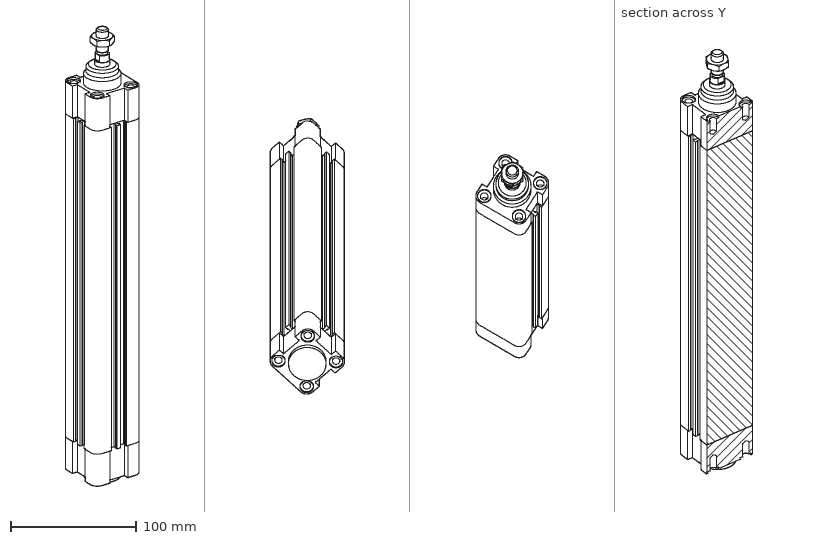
import cadquery as cq
import math

total_length = 396.0
rear_boss_height = 4.0
cap_length = 28.5
barrel_length = 286.7

section_width = 46.0
corner_radius = 6.7
half_width = section_width / 2

recess_width = 17.5
recess_depth = 4.8

groove_width = 14.5
rib_width = 3.5
groove_depth = 4.8
lip_thickness = 2.5
undercut = 0.6
mouth_width = (groove_width - rib_width) / 2
mouth_offset = (groove_width + rib_width) / 4

screw_offset = half_width - corner_radius
counterbore_diameter = 10.5
counterbore_depth = 1.5
screw_hole_diameter = 6.0
screw_hole_depth = 14.0
drill_point_angle = 118.0

boss_diameter = 30.0
boss_height = 8.5
boss_shoulder_height = 2.5
neck_diameter = 26.0
neck_height = 6.0
neck_chamfer = 2.0

rod_diameter = 12.3
rod_exposed_height = 4.0
rod_thread_diameter = 10.0
thread_relief_diameter = 8.7
thread_relief_height = 2.5
flats_land_height = 0.8
flats_height = 5.0
flats_width = 10.0
flats_diameter = 11.5
tip_chamfer = 1.0

nut_across_flats = 17.0
nut_height = 6.0
nut_bottom = 383.5
nut_chamfer_angle = 30.0

rear_cap_bottom = rear_boss_height
barrel_bottom = rear_cap_bottom + cap_length
barrel_top = barrel_bottom + barrel_length
front_cap_top = barrel_top + cap_length
neck_bottom = front_cap_top + boss_height + boss_shoulder_height
neck_top = neck_bottom + neck_height
collar_top = neck_top + rod_exposed_height
flats_bottom = collar_top + flats_land_height
relief_bottom = flats_bottom + flats_height
thread_bottom = relief_bottom + thread_relief_height

open_side_angles = (90, 180, 270)


def rounded_block(bottom, length):
    """Square bar with rounded corners, standing on the given level."""
    return (
        cq.Workplane("XY", origin=(0, 0, bottom))
        .rect(section_width, section_width)
        .extrude(length)
        .edges("|Z")
        .fillet(corner_radius)
    )


def cap_recess(bottom):
    """Cutter for the recess in the +Y side of a cap."""
    return (
        cq.Workplane("XY", origin=(0, half_width - recess_depth / 2, bottom))
        .rect(recess_width, recess_depth)
        .extrude(cap_length)
    )


def barrel_groove(offset):
    """Cutter for one groove in the +Y side of the barrel: a mouth between lips, wider below them."""
    mouth = (
        cq.Workplane("XY", origin=(offset, half_width - groove_depth / 2, barrel_bottom))
        .rect(mouth_width, groove_depth)
        .extrude(barrel_length)
    )
    chamber_depth = groove_depth - lip_thickness
    chamber = (
        cq.Workplane("XY", origin=(offset, half_width - lip_thickness - chamber_depth / 2, barrel_bottom))
        .rect(mouth_width + 2 * undercut, chamber_depth)
        .extrude(barrel_length)
    )
    return mouth.union(chamber)


def cut_open_sides(block, cutter):
    """Cut a shape made for the +Y side into each open side instead."""
    for angle in open_side_angles:
        block = block.cut(cutter.rotate((0, 0, 0), (0, 0, 1), angle))
    return block


def screw_holes():
    """Four counterbored blind holes with drill points, opening upward at level 0."""
    point_height = screw_hole_diameter / 2 / math.tan(math.radians(drill_point_angle / 2))
    profile = (
        cq.Workplane("XZ")
        .moveTo(0, 0)
        .lineTo(counterbore_diameter / 2, 0)
        .lineTo(counterbore_diameter / 2, -counterbore_depth)
        .lineTo(screw_hole_diameter / 2, -counterbore_depth)
        .lineTo(screw_hole_diameter / 2, -screw_hole_depth)
        .lineTo(0, -screw_hole_depth - point_height)
        .close()
    )
    hole = profile.revolve(360, (0, 0, 0), (0, 1, 0)).val()
    pitch = 2 * screw_offset
    corners = cq.Workplane("XY").rect(pitch, pitch, forConstruction=True).vertices()
    return corners.eachpoint(lambda place: hole.moved(place), combine=False)


def cap_block(bottom):
    """Cap body with the recesses in its three open sides."""
    return cut_open_sides(rounded_block(bottom, cap_length), cap_recess(bottom))


def make_rear_cap():
    cap = cap_block(rear_cap_bottom)
    boss = cq.Workplane("XY").circle(boss_diameter / 2).extrude(rear_boss_height)
    holes = screw_holes().rotate((0, 0, 0), (1, 0, 0), 180).translate((0, 0, rear_cap_bottom))
    return cap.union(boss).cut(holes)


def make_front_cap():
    boss = (
        cq.Workplane("XZ")
        .moveTo(0, front_cap_top)
        .lineTo(boss_diameter / 2, front_cap_top)
        .lineTo(boss_diameter / 2, front_cap_top + boss_height)
        .lineTo(neck_diameter / 2, neck_bottom)
        .lineTo(neck_diameter / 2, neck_top - neck_chamfer)
        .lineTo(neck_diameter / 2 - neck_chamfer, neck_top)
        .lineTo(0, neck_top)
        .close()
        .revolve(360, (0, 0, 0), (0, 1, 0))
    )
    rod_bore = cq.Workplane("XY", origin=(0, 0, barrel_top)).circle(rod_diameter / 2).extrude(total_length)
    holes = screw_holes().translate((0, 0, front_cap_top))
    return cap_block(barrel_top).union(boss).cut(holes).cut(rod_bore)


def make_barrel():
    barrel = rounded_block(barrel_bottom, barrel_length)
    for offset in (-mouth_offset, mouth_offset):
        barrel = cut_open_sides(barrel, barrel_groove(offset))
    return barrel


def make_rod():
    """Piston rod with wrench flats and a threaded end, standing on the barrel."""
    rod = (
        cq.Workplane("XY", origin=(0, 0, barrel_top))
        .circle(rod_diameter / 2)
        .extrude(collar_top - barrel_top)
    )
    land = (
        cq.Workplane("XY", origin=(0, 0, collar_top))
        .circle(flats_diameter / 2)
        .extrude(flats_land_height)
    )
    flats = (
        cq.Workplane("XY", origin=(0, 0, flats_bottom))
        .circle(flats_diameter / 2)
        .extrude(flats_height)
        .intersect(cq.Workplane("XY").box(flats_diameter, flats_width, 2 * total_length))
    )
    relief = (
        cq.Workplane("XY", origin=(0, 0, relief_bottom))
        .circle(thread_relief_diameter / 2)
        .extrude(thread_relief_height)
    )
    thread = (
        cq.Workplane("XY", origin=(0, 0, thread_bottom))
        .circle(rod_thread_diameter / 2)
        .extrude(total_length - thread_bottom)
        .faces(">Z")
        .chamfer(tip_chamfer)
    )
    return rod.union(land).union(flats).union(relief).union(thread)


def make_nut():
    """Hexagonal lock nut with its corners chamfered at both ends."""
    across_corners = nut_across_flats / math.cos(math.radians(30))
    chamfer_width = (across_corners - nut_across_flats) / 2
    chamfer_height = chamfer_width * math.tan(math.radians(nut_chamfer_angle))
    hexagon = (
        cq.Workplane("XY", origin=(0, 0, nut_bottom))
        .polygon(6, across_corners)
        .extrude(nut_height)
    )
    envelope = (
        cq.Workplane("XZ", origin=(0, 0, nut_bottom))
        .moveTo(0, 0)
        .lineTo(nut_across_flats / 2, 0)
        .lineTo(across_corners / 2, chamfer_height)
        .lineTo(across_corners / 2, nut_height - chamfer_height)
        .lineTo(nut_across_flats / 2, nut_height)
        .lineTo(0, nut_height)
        .close()
        .revolve(360, (0, 0, 0), (0, 1, 0))
    )
    bore = cq.Workplane("XY").circle(rod_thread_diameter / 2).extrude(total_length)
    return hexagon.intersect(envelope).cut(bore)


rear_cap = make_rear_cap()
barrel = make_barrel()
front_cap = make_front_cap()
rod = make_rod()
nut = make_nut()

result = cq.Compound.makeCompound(
    [rear_cap.val(), barrel.val(), front_cap.val(), rod.val(), nut.val()]
)